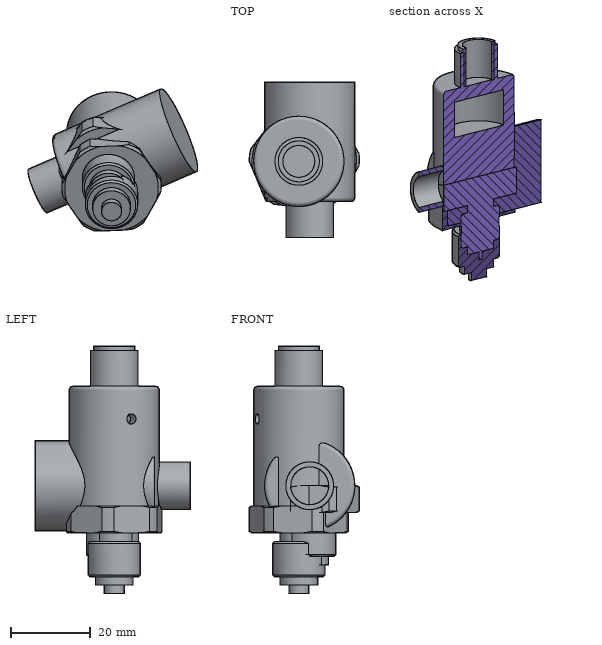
import cadquery as cq

BARREL_DIAMETER = 22.65
BARREL_LENGTH = 30.0
BARREL_FILLET = 1.0
NECK_DIAMETER = 12.0
NECK_LENGTH = 9.0
NECK_BORE_DIAMETER = 9.5

CHAMBER_DIAMETER = 15.5
CHAMBER_WALL = (BARREL_DIAMETER - CHAMBER_DIAMETER) / 2
VENT_DIAMETER = 2.5
VENT_BELOW_SHOULDER = 8.2
UPRIGHT_TURN = 22.5

SLEEVE_FLANGE_DIAMETER = 10.3
SLEEVE_BORE_DIAMETER = 8.0

TIP_DIAMETER = 5.0
PILOT_DIAMETER = 9.5
THREAD_DIAMETER = 13.15
THREAD_CHAMFER = 0.5
PILOT_BOTTOM = 2.1
THREAD_BOTTOM = 4.2
THREAD_TOP = 13.1
HEX_BOTTOM = 15.2
HEX_TOP = 22.05
HEX_ACROSS_FLATS = 23
HEX_CORNER_DIAMETER = 24.95
HEX_CHAMFER_WIDTH = 0.75
HEX_CHAMFER_HEIGHT = 0.45

OVERALL_HEIGHT = 62.1
SHOULDER_Z = HEX_TOP + BARREL_LENGTH
NECK_TOP_Z = SHOULDER_Z + NECK_LENGTH
SIDE_OFFSET_X = 2.75
SIDE_SHOULDER_Y = -10.1
SIDE_AXIS_Z = 27.1
RAISED_FITTING_TURN = 30
RAISED_FITTING_PLACE = (SIDE_OFFSET_X, 0.45, 5.1)


def cylinder(diameter, bottom, top):
    """An upright cylinder on the Z axis."""
    return cq.Workplane("XY", origin=(0, 0, bottom)).circle(diameter / 2).extrude(top - bottom)


def make_housing():
    """A housing on the Z axis with its shoulder at Z = 0 and its neck pointing up."""
    barrel = cylinder(BARREL_DIAMETER, -BARREL_LENGTH, 0).faces(">Z").edges().fillet(BARREL_FILLET)
    neck = cylinder(NECK_DIAMETER, 0, NECK_LENGTH)
    neck_bore = cylinder(NECK_BORE_DIAMETER, 0, NECK_LENGTH)
    return barrel.union(neck).cut(neck_bore)


def make_upright_housing():
    """The vertical housing, with a chamber reached by a radial vent hole."""
    vent_z = SHOULDER_Z - VENT_BELOW_SHOULDER
    chamber_half_height = VENT_BELOW_SHOULDER - CHAMBER_WALL
    chamber = cylinder(CHAMBER_DIAMETER, vent_z - chamber_half_height, vent_z + chamber_half_height)
    vent = (
        cq.Workplane("YZ", origin=(0, 0, vent_z))
        .circle(VENT_DIAMETER / 2)
        .extrude(-BARREL_DIAMETER)
        .rotate((0, 0, 0), (0, 0, 1), UPRIGHT_TURN)
    )
    return make_housing().translate((0, 0, SHOULDER_Z)).cut(chamber).cut(vent)


def make_side_housing():
    """The horizontal housing, with its neck pointing along -Y."""
    place = (SIDE_OFFSET_X, SIDE_SHOULDER_Y, SIDE_AXIS_Z)
    return make_housing().rotate((0, 0, 0), (1, 0, 0), 90).translate(place)


def make_sleeve():
    """A flanged tube that lines the neck bore of the upright housing."""
    tube = cylinder(NECK_BORE_DIAMETER, SHOULDER_Z, NECK_TOP_Z)
    flange = cylinder(SLEEVE_FLANGE_DIAMETER, NECK_TOP_Z, OVERALL_HEIGHT)
    bore = cylinder(SLEEVE_BORE_DIAMETER, SHOULDER_Z, OVERALL_HEIGHT)
    return tube.union(flange).cut(bore)


def make_hex():
    """A hexagon with turned corners, chamfered at top and bottom, with two flats facing along X."""
    height = HEX_TOP - HEX_BOTTOM
    hexagon = (
        cq.Workplane("XY", origin=(0, 0, HEX_BOTTOM))
        .polygon(6, HEX_ACROSS_FLATS, circumscribed=True)
        .extrude(height)
    )
    turned = (
        cylinder(HEX_CORNER_DIAMETER, HEX_BOTTOM, HEX_TOP)
        .faces("<Z or >Z")
        .edges()
        .chamfer(HEX_CHAMFER_HEIGHT, HEX_CHAMFER_WIDTH)
    )
    return hexagon.intersect(turned)


def make_fitting(turn):
    """A screw fitting on the Z axis, with its tip at Z = 0, turned about Z by the given degrees."""
    tip = cylinder(TIP_DIAMETER, 0, PILOT_BOTTOM)
    pilot_and_neck = cylinder(PILOT_DIAMETER, PILOT_BOTTOM, HEX_BOTTOM)
    thread = (
        cylinder(THREAD_DIAMETER, THREAD_BOTTOM, THREAD_TOP)
        .faces("<Z or >Z")
        .edges()
        .chamfer(THREAD_CHAMFER)
    )
    fitting = tip.union(pilot_and_neck).union(thread).union(make_hex())
    return fitting.rotate((0, 0, 0), (0, 0, 1), turn)


raised_fitting = make_fitting(RAISED_FITTING_TURN).translate(RAISED_FITTING_PLACE)
upright_housing = make_upright_housing().cut(raised_fitting)
side_housing = make_side_housing().cut(raised_fitting).cut(upright_housing)
upright_fitting = make_fitting(UPRIGHT_TURN).cut(raised_fitting).cut(upright_housing).cut(side_housing)
sleeve = make_sleeve()

result = cq.Compound.makeCompound(
    [
        upright_housing.val(),
        side_housing.val(),
        upright_fitting.val(),
        raised_fitting.val(),
        sleeve.val(),
    ]
)